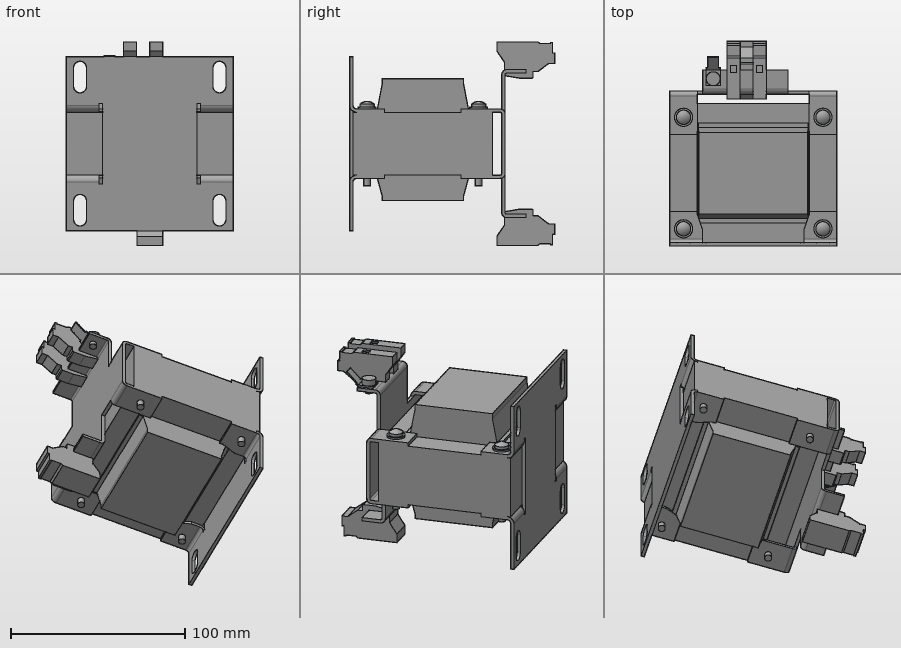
import cadquery as cq
import math

CORE_WIDTH = 96.0
CORE_HEIGHT = 36.0
LEG = CORE_WIDTH / 6
CORE_LENGTH = 5 * LEG
WINDOW_LENGTH = 3 * LEG
CORE_TOP = CORE_HEIGHT / 2
HALF_WIDTH = CORE_WIDTH / 2
WINDOW_OUTER = HALF_WIDTH - LEG

SHEET = 2.0
TAB_TOP = CORE_TOP + SHEET
CORE_FRONT = SHEET
CORE_REAR = CORE_FRONT + CORE_LENGTH
CORE_MIDDLE = CORE_FRONT + CORE_LENGTH / 2

BASE_HEIGHT = 100.0
BASE_BEND = 4.0
BASE_TAB_END = 20.0
BASE_TAB_INNER = 29.0
BASE_TAB_TAPER_START = 9.2
RELIEF_WIDTH = 2.0
RELIEF_TOP = 23.2
SLOT_WIDTH = 7.3
SLOT_LENGTH = 18.0
SLOT_X = 40.0
SLOT_Z = 38.2

BRACKET_REAR = 89.2
BRACKET_FRONT = BRACKET_REAR - SHEET
BRACKET_BEND = 3.0
BRACKET_TAB_END = 64.0
SHELF_TOP = 42.5
SHELF_END = 101.2
UPPER_SHELF_X = (-29.0, 20.0)
LOWER_SHELF_X = (-20.0, 20.0)

COIL_HALF_WIDTH = 31.3
COIL_LENGTH = 46.8
COIL_TOP = 37.4
COIL_BOTTOM = -32.7
COIL_TOP_SHOULDER = 34.3
COIL_BOTTOM_SHOULDER = -30.1
COIL_FLARED_LENGTH = 52.4
FLANGE_LENGTH = 57.3
FLANGE_BOTTOM = 18.4
FLANGE_TOP = 19.8

CORE_SCREW_X = HALF_WIDTH - LEG / 2
CORE_SCREW_Y = (CORE_FRONT + LEG / 2, CORE_REAR - LEG / 2)
SHANK_RADIUS = 2.0
WASHER_RADIUS = 5.2
WASHER_THICKNESS = 1.0
HEAD_RADIUS = 4.1
HEAD_RIM = 1.7
DOME_HEIGHT = 1.6
SHANK_PROJECTION = 4.2

EARTH_X = -23.0
EARTH_Y = 96.1
EARTH_HEAD_RADIUS = 4.0
EARTH_HEAD_TOP = 47.0
EARTH_SHANK_BOTTOM = 38.0
LUG_THICKNESS = 1.0
LUG_WIDTH = 8.2
LUG_FRONT = 92.1
LUG_BEND_Y = 101.3
BLADE_WIDTH = 6.3
BLADE_THICKNESS = 0.8
BLADE_LENGTH = 10.7
BLADE_ANGLE = 45.0
EAR_LENGTH = 2.0

BLOCK_WIDTH = 7.6
UPPER_BLOCK_LEFTS = (-15.1, -0.1)
LOWER_BLOCK_LEFT = -7.4
LOWER_BLOCK_WIDTH = 14.9
BLOCK_TOP = 58.5
BLOCK_PROFILE = [
    (84.4, BLOCK_TOP),
    (107.9, BLOCK_TOP),
    (109.1, 57.5),
    (115.1, 57.5),
    (115.1, 58.1),
    (116.4, 58.1),
    (116.4, 52.1),
    (117.7, 52.1),
    (117.7, 46.0),
    (114.2, 46.0),
    (108.0, 41.3),
    (105.3, 41.3),
    (105.3, 38.1),
    (104.6, 37.5),
    (97.6, 37.5),
    (88.8, 39.0),
    (88.8, 46.7),
    (84.4, 53.2),
]
POCKET_WIDTH = 3.3
POCKET_INSET = 2.1
POCKET_FRONT = 99.7
POCKET_LENGTH = 4.0
POCKET_DEPTH = 1.0


def box(x_range, y_range, z_range):
    """Axis-aligned box between the given limits."""
    size = [high - low for low, high in (x_range, y_range, z_range)]
    corner = (x_range[0], y_range[0], z_range[0])
    return cq.Workplane("XY").box(*size, centered=False).translate(corner)


def extrude_side_profile(sketch, x_left, width):
    """Extrude a closed YZ outline along +X from x_left."""
    return sketch.extrude(width).translate((x_left, 0, 0))


def mirror_x(body):
    """Body together with its mirror image across the YZ plane."""
    return body.union(body.mirror("YZ"))


def mirror_z(body):
    """Body together with its mirror image across the XY plane."""
    return body.union(body.mirror("XY"))


def bend(y_tangent, z_tangent, y_sign, z_sign, radius, x_left, width):
    """Quarter-round sheet bend about an X axis through the two tangent points."""
    inner = radius - SHEET
    diagonal = math.sqrt(0.5)
    sketch = (
        cq.Workplane("YZ")
        .moveTo(y_tangent + y_sign * radius, z_tangent)
        .threePointArc(
            (y_tangent + y_sign * radius * diagonal, z_tangent + z_sign * radius * diagonal),
            (y_tangent, z_tangent + z_sign * radius),
        )
        .lineTo(y_tangent, z_tangent + z_sign * inner)
        .threePointArc(
            (y_tangent + y_sign * inner * diagonal, z_tangent + z_sign * inner * diagonal),
            (y_tangent + y_sign * inner, z_tangent),
        )
        .close()
    )
    return extrude_side_profile(sketch, x_left, width)


def make_core():
    """Core block with two through windows, built from an E stack and an I stack."""
    window_rear = CORE_REAR - LEG
    e_stack = box((-HALF_WIDTH, HALF_WIDTH), (CORE_FRONT, window_rear), (-CORE_TOP, CORE_TOP))
    i_stack = box((-HALF_WIDTH, HALF_WIDTH), (window_rear, CORE_REAR), (-CORE_TOP, CORE_TOP))
    window = box((LEG, WINDOW_OUTER), (window_rear - WINDOW_LENGTH, window_rear), (-CORE_TOP, CORE_TOP))
    return e_stack.cut(mirror_x(window)).union(i_stack)


def make_coil():
    """Winding with flared ends outside the core and a bobbin flange above and below it."""
    half = COIL_LENGTH / 2
    flared = COIL_FLARED_LENGTH / 2
    x_range = (-COIL_HALF_WIDTH, COIL_HALF_WIDTH)
    coil = box(x_range, (CORE_MIDDLE - half, CORE_MIDDLE + half), (COIL_BOTTOM, COIL_TOP))
    for side, shoulder in ((1, COIL_TOP_SHOULDER), (-1, COIL_BOTTOM_SHOULDER)):
        flare = cq.Workplane("YZ").polyline([
            (CORE_MIDDLE - flared, side * FLANGE_TOP),
            (CORE_MIDDLE - half, shoulder),
            (CORE_MIDDLE + half, shoulder),
            (CORE_MIDDLE + flared, side * FLANGE_TOP),
        ]).close()
        coil = coil.union(extrude_side_profile(flare, -COIL_HALF_WIDTH, 2 * COIL_HALF_WIDTH))
    flange_y = (CORE_MIDDLE - FLANGE_LENGTH / 2, CORE_MIDDLE + FLANGE_LENGTH / 2)
    flange = box(x_range, flange_y, (FLANGE_BOTTOM, FLANGE_TOP))
    return coil.union(mirror_z(flange))


def make_base_plate():
    """Mounting plate with four slots and four tabs bent back over the core."""
    half_height = BASE_HEIGHT / 2
    plate = box((-HALF_WIDTH, HALF_WIDTH), (0, SHEET), (-half_height, half_height))
    relief_inner = BASE_TAB_INNER - RELIEF_WIDTH
    bend_top = CORE_TOP + BASE_BEND
    opening = box((relief_inner, HALF_WIDTH), (0, SHEET), (-bend_top, bend_top))
    relief = box((relief_inner, BASE_TAB_INNER), (0, SHEET), (-RELIEF_TOP, RELIEF_TOP))
    slots = (
        cq.Workplane("XZ")
        .rarray(2 * SLOT_X, 2 * SLOT_Z, 2, 2)
        .slot2D(SLOT_LENGTH, SLOT_WIDTH, 90)
        .extrude(-SHEET)
    )
    plate = plate.cut(mirror_x(opening.union(relief))).cut(slots)

    tab = (
        cq.Workplane("XY", origin=(0, 0, CORE_TOP))
        .polyline([
            (HALF_WIDTH, BASE_BEND),
            (BASE_TAB_INNER, BASE_BEND),
            (BASE_TAB_INNER, BASE_TAB_TAPER_START),
            (WINDOW_OUTER, CORE_FRONT + LEG),
            (WINDOW_OUTER, BASE_TAB_END),
            (HALF_WIDTH, BASE_TAB_END),
        ])
        .close()
        .extrude(SHEET)
    )
    tab_width = HALF_WIDTH - BASE_TAB_INNER
    tab = tab.union(bend(BASE_BEND, bend_top, -1, -1, BASE_BEND, BASE_TAB_INNER, tab_width))
    return plate.union(mirror_x(mirror_z(tab)))


def make_shelf(x_range):
    """Upright wall bent to the rear into a level shelf, for the upper half of the bracket."""
    bend_y = BRACKET_FRONT + BRACKET_BEND
    bend_z = SHELF_TOP - BRACKET_BEND
    wall = box(x_range, (BRACKET_FRONT, BRACKET_REAR), (0, bend_z))
    shelf = box(x_range, (bend_y, SHELF_END), (SHELF_TOP - SHEET, SHELF_TOP))
    corner = bend(bend_y, bend_z, -1, 1, BRACKET_BEND, x_range[0], x_range[1] - x_range[0])
    return wall.union(shelf).union(corner)


def make_rear_bracket():
    """Bracket clamping the core corners and carrying an upper and a lower shelf."""
    bend_y = BRACKET_REAR - BRACKET_BEND
    bend_z = TAB_TOP - BRACKET_BEND
    web = box((-HALF_WIDTH, HALF_WIDTH), (BRACKET_FRONT, BRACKET_REAR), (-bend_z, bend_z))
    tab = box((WINDOW_OUTER, HALF_WIDTH), (BRACKET_TAB_END, bend_y), (CORE_TOP, TAB_TOP))
    tab = tab.union(bend(bend_y, bend_z, 1, 1, BRACKET_BEND, WINDOW_OUTER, LEG))

    bracket = web.union(mirror_x(mirror_z(tab)))
    bracket = bracket.union(make_shelf(UPPER_SHELF_X))
    return bracket.union(make_shelf(LOWER_SHELF_X).mirror("XY"))


def make_core_screw(x, y):
    """Washer, domed head and shank of one clamping screw."""
    rim_top = TAB_TOP + WASHER_THICKNESS + HEAD_RIM
    dome_top = rim_top + DOME_HEIGHT
    dome_radius = (HEAD_RADIUS**2 + DOME_HEIGHT**2) / (2 * DOME_HEIGHT)
    mid_radius = HEAD_RADIUS / 2
    mid_height = dome_top - dome_radius + math.sqrt(dome_radius**2 - mid_radius**2)
    shank_bottom = -TAB_TOP - SHANK_PROJECTION
    half_section = (
        cq.Workplane("XZ")
        .moveTo(0, shank_bottom)
        .lineTo(SHANK_RADIUS, shank_bottom)
        .lineTo(SHANK_RADIUS, TAB_TOP)
        .lineTo(WASHER_RADIUS, TAB_TOP)
        .lineTo(WASHER_RADIUS, TAB_TOP + WASHER_THICKNESS)
        .lineTo(HEAD_RADIUS, TAB_TOP + WASHER_THICKNESS)
        .lineTo(HEAD_RADIUS, rim_top)
        .threePointArc((mid_radius, mid_height), (0, dome_top))
        .close()
    )
    return half_section.revolve(360, (0, 0, 0), (0, 1, 0)).translate((x, y, 0))


def make_earth_terminal():
    """Screw and blade lug; the blade rises to the rear from the lug."""
    lug_top = SHELF_TOP + LUG_THICKNESS
    half_lug = LUG_WIDTH / 2
    half_blade = BLADE_WIDTH / 2
    lug = box((-half_lug, half_lug), (LUG_FRONT, LUG_BEND_Y), (SHELF_TOP, lug_top))
    blade = box((-half_blade, half_blade), (0, BLADE_LENGTH), (0, BLADE_THICKNESS))
    ears = box((-half_lug, half_lug), (0, EAR_LENGTH), (0, BLADE_THICKNESS))
    blade = (
        blade.union(ears)
        .rotate((0, 0, 0), (1, 0, 0), BLADE_ANGLE)
        .translate((0, LUG_BEND_Y, SHELF_TOP))
    )
    shank = (
        cq.Workplane("XY", origin=(0, EARTH_Y, EARTH_SHANK_BOTTOM))
        .circle(SHANK_RADIUS)
        .extrude(SHELF_TOP - EARTH_SHANK_BOTTOM)
    )
    head = (
        cq.Workplane("XY", origin=(0, EARTH_Y, SHELF_TOP))
        .circle(EARTH_HEAD_RADIUS)
        .extrude(EARTH_HEAD_TOP - SHELF_TOP)
    )
    return lug.union(blade).union(shank).union(head).translate((EARTH_X, 0, 0))


def make_terminal_block(x_left, width):
    """Plain terminal block clamped over the upper shelf."""
    outline = cq.Workplane("YZ").polyline(BLOCK_PROFILE).close()
    return extrude_side_profile(outline, x_left, width)


def make_upper_block(x_left):
    """Upper terminal block with a small pocket in its top face."""
    pocket_left = x_left + POCKET_INSET
    pocket = box(
        (pocket_left, pocket_left + POCKET_WIDTH),
        (POCKET_FRONT, POCKET_FRONT + POCKET_LENGTH),
        (BLOCK_TOP - POCKET_DEPTH, BLOCK_TOP),
    )
    return make_terminal_block(x_left, BLOCK_WIDTH).cut(pocket)


result = make_core().union(make_coil()).union(make_base_plate()).union(make_rear_bracket())
for screw_x in (-CORE_SCREW_X, CORE_SCREW_X):
    for screw_y in CORE_SCREW_Y:
        result = result.union(make_core_screw(screw_x, screw_y))
for block_left in UPPER_BLOCK_LEFTS:
    result = result.union(make_upper_block(block_left))
result = result.union(make_terminal_block(LOWER_BLOCK_LEFT, LOWER_BLOCK_WIDTH).mirror("XY"))
result = result.union(make_earth_terminal())